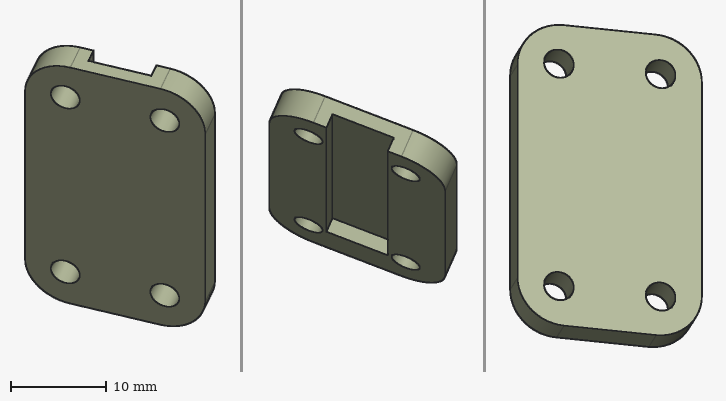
import cadquery as cq

width = 20.0
thickness = 3.25
height = 34.5
corner_radius = 5.0

hole_diameter = 3.2
hole_spacing_x = 11.05
hole_spacing_z = 25.53

channel_width = 6.97
channel_depth = 1.65
bottom_wall = (height - hole_spacing_z) / 2
channel_length = height - bottom_wall


def make_plate():
    plate = cq.Workplane("XY").box(width, thickness, height)
    return plate.edges("|Y").fillet(corner_radius)


def drill_holes(plate):
    return (
        plate.faces("<Y").workplane(centerOption="CenterOfBoundBox")
        .rarray(hole_spacing_x, hole_spacing_z, 2, 2)
        .hole(hole_diameter)
    )


def make_channel():
    channel = cq.Workplane("XY").box(channel_width, channel_depth, channel_length)
    return channel.translate((0, (thickness - channel_depth) / 2, (height - channel_length) / 2))


result = drill_holes(make_plate()).cut(make_channel())